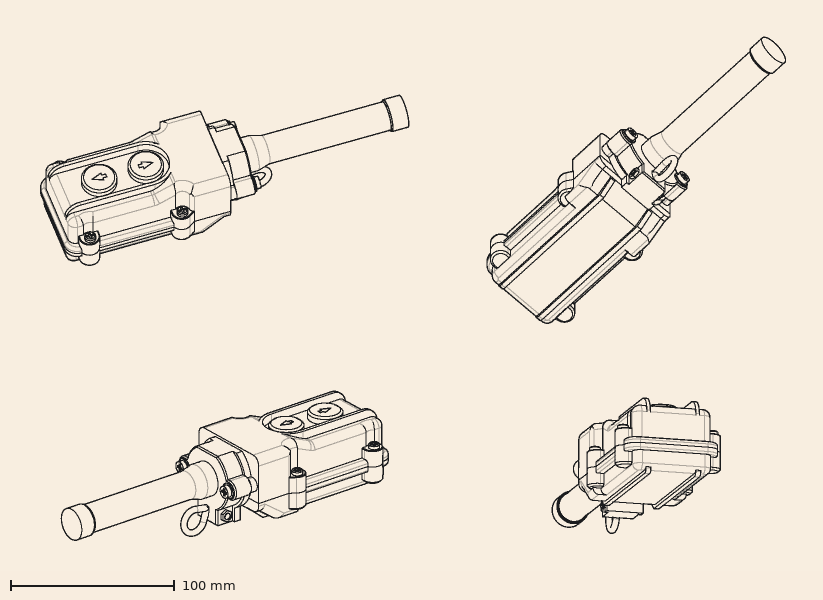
import cadquery as cq
import math


wide_half = 29.7
narrow_half = 24.7
rear_y = 104.6
corner_radius = 4.8
wide_corner_radius = 5.5

screw_x = 28.5
front_screw_y, rear_screw_y = 14.3, 73.8
screw_radius, screw_top_z, screw_chamfer = 3.5, 13.5, 0.7
relief_radius = 5.0
shoulder_radius = 2.5
cross_length, cross_width, cross_depth = 4.5, 1.1, 1.1

cover_front_y = 2.7
top_z = 30.8
deck_z = 25.1
slope_front_y, slope_rear_y = 58.0, 71.5
slope_blend = 4.0

button_ys = (30.0, 60.0)
button_root = 2.3
rim_outer, rim_inner = 16.8, 14.5
rim_front_radius = 9.5
rim_root = 2.3
button_radius, button_chamfer, button_top_z = 10.9, 1.4, 30.1
arrow_tip, arrow_head_base, arrow_tail = 4.5, -2.0, -4.5
arrow_head_half, arrow_stem_half, arrow_depth = 2.7, 1.1, 0.2

base_front_y = 1.5
bottom_z = -15.9
base_fillet = 3.6
heel_y, heel_z = 101.5, -7.5
slope_foot_y = 89.7
slope_fillet = 5.7
rib_x, rib_width, rib_height, rib_front_y = 15.9, 3.2, 2.0, 2.3
rib_fillet = 2.7

flange_corner = 8.2
flange_half_height = 4.0
flange_top_fillet, flange_bottom_fillet = 2.0, 1.4
boss_x, boss_radius = 27.0, 6.3
boss_top_z, boss_bottom_z = 10.9, -11.8
boss_top_chamfer, boss_bottom_chamfer = 0.5, 1.4

axis_z = 10.9
lug_x, lug_radius = 22.0, 6.3
column_top_z, column_bottom_z = 29.2, -18.0
column_half, plate_half = 9.7, 11.5
clamp_disc_radius = math.hypot(column_half, column_top_z - axis_z)
plate_disc_radius = 22.6
plate_lug_radius = 4.5
plate_y, clamp_y = 109.2, 121.6
clamp_chamfer = 1.0
gland_washer_radius, gland_washer_height = 5.0, 1.0
gland_screw_radius, gland_screw_end_y = 3.9, 125.5
nut_y, nut_z = 114.8, -12.5
nut_corners, nut_height, nut_bolt_radius = 7.7, 1.8, 2.0
nut_bolt_height = 2.3

collar_radius, collar_end_y = 11.0, 129.5
sleeve_radius, cone_end_y = 9.0, 137.3
cap_radius, cap_start_y, end_y = 10.2, 216.3, 226.5
neck_radius, neck_start_y = 9.5, 215.5

hook_y, hook_z, hook_radius = 131.5, -15.2, 7.7
hook_wire_radius = 2.0
hook_upper_angle, hook_lower_angle = 100, -162
hook_upper_leg, hook_lower_leg = 10.9, 10.2

DIAGONAL = math.sqrt(0.5)
MARGIN = 0.2


def box(half_width, y0, y1, z0, z1):
    """Box centred on X = 0."""
    block = cq.Workplane("XY").box(2 * half_width, y1 - y0, z1 - z0, centered=(True, False, False))
    return block.translate((0, y0, z0))


def side_prism(outline, half_width):
    """Prism along X, centred on X = 0, from a (Y, Z) outline."""
    return cq.Workplane("YZ").polyline(outline).close().extrude(half_width, both=True)


def rear_facing(origin_y):
    """Workplane whose normal is +Y, with local x = -X and local y = Z."""
    return cq.Workplane(cq.Plane((0, origin_y, 0), xDir=(-1, 0, 0), normal=(0, 1, 0)))


def edge_zone(y0, y1, z0, z1):
    """Selector for edges centred between the given Y and Z limits."""
    reach = wide_half + MARGIN
    return cq.selectors.BoxSelector((-reach, y0, z0), (reach, y1, z1))


def screw_places():
    return [(side * screw_x, y) for side in (-1, 1) for y in (front_screw_y, rear_screw_y)]



def flange():
    band = box(wide_half, 0, rear_screw_y, -flange_half_height, flange_half_height)
    band = band.edges("|Z and <Y").fillet(flange_corner)
    band = band.faces(">Z").edges("not >Y").fillet(flange_top_fillet)
    return band.faces("<Z").edges("not >Y").fillet(flange_bottom_fillet)


def boss_outline(side, y):
    inner_x = boss_x - boss_radius
    return (
        cq.Workplane("XY", origin=(0, y, boss_bottom_z))
        .moveTo(side * inner_x, boss_radius)
        .lineTo(side * boss_x, boss_radius)
        .threePointArc((side * (boss_x + boss_radius), 0), (side * boss_x, -boss_radius))
        .lineTo(side * inner_x, -boss_radius)
        .close()
    )


def boss_web(side):
    """Flat web, tangent to a rear boss, that runs back to the side wall where the shoulder starts."""
    shoulder_centre_x = wide_half - shoulder_radius
    shoulder_reach = relief_radius + shoulder_radius
    along = math.sqrt(shoulder_reach**2 - (screw_x - shoulder_centre_x) ** 2)
    across = wide_half - boss_x
    tangent = math.atan2(along, across) - math.acos(boss_radius / math.hypot(along, across))
    outline = [
        (0, 0),
        (side * boss_radius * math.cos(tangent), boss_radius * math.sin(tangent)),
        (side * across, along),
        (0, along),
    ]
    plane = cq.Workplane("XY", origin=(side * boss_x, rear_screw_y, boss_bottom_z))
    return plane.polyline(outline).close().extrude(boss_top_z - boss_bottom_z)


def bosses():
    """Upright screw bosses with a round outer end and flat flanks running into the wall."""
    group = cq.Workplane("XY")
    for side in (-1, 1):
        for y in (front_screw_y, rear_screw_y):
            boss = boss_outline(side, y).extrude(boss_top_z - boss_bottom_z)
            if y == rear_screw_y:
                boss = boss.union(boss_web(side))
            boss = boss.faces(">Z").edges().chamfer(boss_top_chamfer)
            boss = boss.faces("<Z").edges().chamfer(boss_bottom_chamfer)
            group = group.add(boss)
    return group.combine()


def above_parting(shape):
    return shape.intersect(box(wide_half + boss_radius, 0, rear_y, 0, top_z))


def below_parting(shape):
    return shape.intersect(box(wide_half + boss_radius, 0, rear_y, 2 * bottom_z, 0))



def narrow_cover():
    """Front section: a low deck that slopes up to the height of the rear section."""
    outline = [
        (cover_front_y, 0),
        (cover_front_y, deck_z),
        (slope_front_y, deck_z),
        (slope_rear_y, top_z),
        (rear_y, top_z),
        (rear_y, 0),
    ]
    body = side_prism(outline, narrow_half)
    slope_zone = edge_zone(slope_front_y - MARGIN, slope_rear_y + MARGIN, deck_z - MARGIN, top_z + MARGIN)
    body = body.edges("|X").edges(slope_zone).fillet(slope_blend)
    body = body.edges("|Z and <Y").fillet(corner_radius)
    front_edge = cq.NearestToPointSelector((0, cover_front_y, deck_z))
    return body.edges(front_edge).fillet(corner_radius)


def wide_cover():
    """Rear section; its side walls turn round a shoulder into the clearances of the rear screws."""
    body = box(wide_half, rear_screw_y, rear_y, 0, top_z)
    plan = body
    for side in (-1, 1):
        plan = plan.cut(cq.Workplane("XY").center(side * screw_x, rear_screw_y).circle(relief_radius).extrude(top_z))
    shoulder_zone = edge_zone(rear_screw_y, rear_screw_y + relief_radius, 0, top_z)
    plan = plan.edges("|Z").edges("<X or >X").edges(shoulder_zone).fillet(shoulder_radius)
    return body.edges("|Y and >Z").fillet(wide_corner_radius).intersect(plan)


def driver_relief(x, y, upper_z):
    """Round clearance above a screw that flares out at the upper surface."""
    flare_radius = relief_radius + corner_radius
    flare_z = upper_z - corner_radius
    middle = (flare_radius - corner_radius * DIAGONAL, flare_z + corner_radius * DIAGONAL)
    return (
        cq.Workplane("XZ")
        .moveTo(0, boss_top_z)
        .lineTo(relief_radius, boss_top_z)
        .lineTo(relief_radius, flare_z)
        .threePointArc(middle, (flare_radius, upper_z))
        .lineTo(flare_radius, upper_z + 2.3)
        .lineTo(0, upper_z + 2.3)
        .close()
        .revolve(360, (0, 0, 0), (0, 1, 0))
        .translate((x, y, 0))
    )


def stadium(half_width, front_y, z0, z1):
    """Upright slab with a straight front and a round rear end about the rear button."""
    rear = button_ys[1]
    return (
        cq.Workplane("XY", origin=(0, 0, z0))
        .moveTo(-half_width, front_y)
        .lineTo(half_width, front_y)
        .lineTo(half_width, rear)
        .threePointArc((0, rear + half_width), (-half_width, rear))
        .close()
        .extrude(z1 - z0)
    )


def button_rim():
    rim = stadium(rim_outer, cover_front_y, top_z - rim_front_radius - rim_root, top_z)
    rim = rim.edges("|X and <Y and >Z").fillet(rim_front_radius)
    return rim.cut(stadium(rim_inner, 0, 0, top_z))


def button(y, direction):
    """Button with an engraved arrow that points along direction (+1 or -1) in Y."""
    root_z = deck_z - button_root
    body = cq.Workplane("XY", origin=(0, y, root_z)).circle(button_radius).extrude(button_top_z - root_z)
    body = body.faces(">Z").edges().chamfer(button_chamfer)
    arrow = [
        (0, arrow_tip),
        (arrow_head_half, arrow_head_base),
        (arrow_stem_half, arrow_head_base),
        (arrow_stem_half, arrow_tail),
        (-arrow_stem_half, arrow_tail),
        (-arrow_stem_half, arrow_head_base),
        (-arrow_head_half, arrow_head_base),
    ]
    outline = [(x, direction * along) for x, along in arrow]
    engraving = cq.Workplane("XY", origin=(0, y, button_top_z)).polyline(outline).close().extrude(-arrow_depth)
    return body.cut(engraving)


def cross_recess(plane):
    """Cross-shaped driver recess below a workplane on a screw head."""
    bar = plane.rect(cross_length, cross_width).extrude(-cross_depth)
    return bar.union(plane.rect(cross_width, cross_length).extrude(-cross_depth))


def cover_screw(x, y):
    head = cq.Workplane("XY", origin=(x, y, 0)).circle(screw_radius).extrude(screw_top_z)
    head = head.faces(">Z").edges().chamfer(screw_chamfer)
    return head.cut(cross_recess(cq.Workplane("XY", origin=(x, y, screw_top_z))))


def build_cover():
    body = narrow_cover().union(wide_cover())
    for x, y in screw_places():
        body = body.cut(driver_relief(x, y, deck_z if y == front_screw_y else top_z))
    body = body.union(button_rim())
    body = body.cut(stadium(rim_inner, 0, deck_z, top_z))
    body = body.union(above_parting(flange())).union(above_parting(bosses()))
    for y, direction in zip(button_ys, (-1, 1)):
        body = body.union(button(y, direction))
    for x, y in screw_places():
        body = body.union(cover_screw(x, y))
    return body



def narrow_base():
    """Front section, which runs on under the rear section and slopes up to the heel."""
    outline = [
        (base_front_y, 0),
        (base_front_y, bottom_z),
        (slope_foot_y, bottom_z),
        (heel_y, heel_z),
        (rear_y, heel_z),
        (rear_y, 0),
    ]
    body = side_prism(outline, narrow_half)
    body = body.edges("|Z and <Y").fillet(corner_radius)
    return body.faces("<Z").edges("not >Y").fillet(base_fillet)


def wide_base():
    """Rear section: a tray with rounded lower edges, cut back by a slope with larger rounding."""
    tray = box(wide_half, rear_screw_y, rear_y, bottom_z, 0).edges("|Y and <Z").fillet(base_fillet)
    slope_gradient = (heel_z - bottom_z) / (heel_y - slope_foot_y)
    drop = slope_gradient * (heel_y - rear_screw_y)
    outline = [
        (rear_screw_y, 0),
        (rear_screw_y, heel_z - drop),
        (heel_y, heel_z),
        (rear_y, heel_z),
        (rear_y, 0),
    ]
    sloped = side_prism(outline, wide_half)
    underside = edge_zone(rear_screw_y + MARGIN, rear_y - MARGIN, heel_z - drop, heel_z + MARGIN)
    sloped = sloped.edges(underside).edges("not |X").fillet(slope_fillet)
    return tray.intersect(sloped)


def rib(x):
    """Foot rib along the underside that follows its slope."""
    rib_z = bottom_z - rib_height
    outline = [
        (rib_front_y, bottom_z + base_fillet),
        (rib_front_y, rib_z),
        (slope_foot_y + rib_height, rib_z),
        (heel_y, heel_z - rib_height),
        (heel_y, heel_z),
        (slope_foot_y, bottom_z + base_fillet),
    ]
    strip = side_prism(outline, rib_width / 2).edges("|X and <Y and <Z").fillet(rib_fillet)
    return strip.translate((x, 0, 0))


def build_base():
    body = narrow_base().union(wide_base())
    for side in (-1, 1):
        body = body.union(rib(side * rib_x))
    return body.union(below_parting(flange())).union(below_parting(bosses()))



def gland_pieces(disc_radius, half_width, lug_half_height, y0, y1):
    """Disc about the cable axis, central column and pair of screw lugs, all from y0 to y1."""
    plane = rear_facing(y0).center(0, axis_z)
    disc = plane.circle(disc_radius).extrude(y1 - y0)
    disc = disc.intersect(box(disc_radius, y0, y1, column_bottom_z, column_top_z))
    column = box(half_width, y0, y1, column_bottom_z, column_top_z)
    lugs = plane.slot2D(2 * (lug_x + lug_radius), 2 * lug_half_height).extrude(y1 - y0)
    return disc, column, lugs


def gland_plate():
    disc, column, lugs = gland_pieces(plate_disc_radius, plate_half, plate_lug_radius, rear_y, plate_y)
    return disc.union(column).union(lugs)


def gland_clamp():
    pieces = gland_pieces(clamp_disc_radius, column_half, lug_radius, plate_y, clamp_y)
    disc, column, lugs = (piece.faces(">Y").edges().chamfer(clamp_chamfer) for piece in pieces)
    return disc.union(column).union(lugs)


def gland_screw(side):
    centre = (side * lug_x, axis_z)
    screw = rear_facing(clamp_y).center(*centre).circle(gland_washer_radius).extrude(gland_washer_height)
    head = rear_facing(clamp_y).center(*centre).circle(gland_screw_radius).extrude(gland_screw_end_y - clamp_y)
    screw = screw.union(head)
    return screw.cut(cross_recess(rear_facing(gland_screw_end_y).center(*centre)))


def side_nut(side):
    """Hexagon nut with its bolt end, on the flank of the column."""
    plane = cq.Workplane("YZ", origin=(side * column_half, nut_y, nut_z))
    nut = plane.transformed(rotate=(0, 0, 90)).polygon(6, nut_corners).extrude(side * nut_height)
    bolt = plane.circle(nut_bolt_radius).extrude(side * nut_bolt_height)
    return nut.union(bolt)


def sleeve():
    outline = [
        (0, plate_y),
        (collar_radius, plate_y),
        (collar_radius, collar_end_y),
        (sleeve_radius, cone_end_y),
        (sleeve_radius, neck_start_y),
        (neck_radius, neck_start_y),
        (neck_radius, cap_start_y),
        (cap_radius, cap_start_y),
        (cap_radius, end_y),
        (0, end_y),
    ]
    body = cq.Workplane("XY").polyline(outline).close().revolve(360, (0, 0, 0), (0, 1, 0))
    return body.translate((0, 0, axis_z))


def hook_leg(angle, turn, length):
    """Straight wire that leaves the ring along its tangent; turn is +1 or -1 about +X."""
    radians = math.radians(angle)
    across, up = math.cos(radians), math.sin(radians)
    start = (0, hook_y + hook_radius * across, hook_z + hook_radius * up)
    plane = cq.Plane(start, xDir=(1, 0, 0), normal=(0, -turn * up, turn * across))
    return cq.Workplane(plane).circle(hook_wire_radius).extrude(length)


def hook():
    """Open wire ring whose two straight legs run into the rear face of the clamp."""
    ring_plane = cq.Plane((0, hook_y, hook_z), xDir=(0, 1, 0), normal=(0, 0, 1))
    ring = (
        cq.Workplane(ring_plane)
        .center(hook_radius, 0)
        .circle(hook_wire_radius)
        .revolve(hook_upper_angle - hook_lower_angle, (-hook_radius, 0, 0), (-hook_radius, -1, 0))
        .rotate((0, hook_y, hook_z), (1, hook_y, hook_z), hook_lower_angle)
    )
    upper_leg = hook_leg(hook_upper_angle, 1, hook_upper_leg)
    lower_leg = hook_leg(hook_lower_angle, -1, hook_lower_leg)
    return ring.union(upper_leg).union(lower_leg)


def build_gland():
    body = gland_plate().union(gland_clamp()).union(sleeve()).union(hook())
    for side in (-1, 1):
        body = body.union(gland_screw(side)).union(side_nut(side))
    return body


cover = build_cover()
base = build_base()
gland = build_gland()
result = cq.Compound.makeCompound([cover.val(), base.val(), gland.val()])